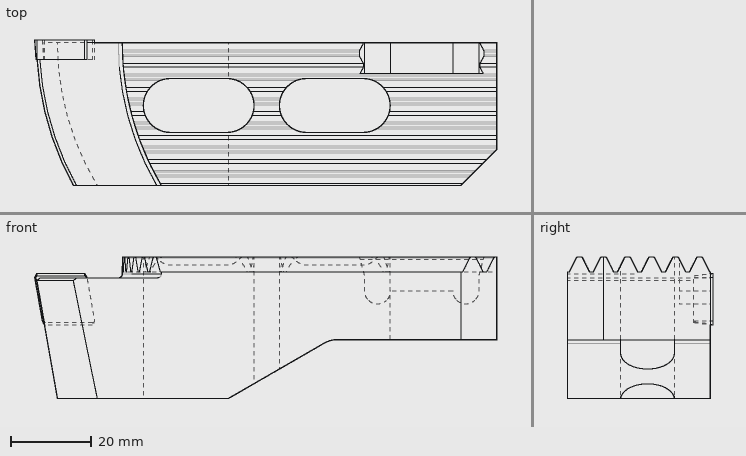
import cadquery as cq
import math


LENGTH = 115.5
WIDTH = 35.7
HEIGHT = 35.4
SHANK_HEIGHT = 20.7
HEEL_X = 48.4
RAMP_ANGLE = 30.0
RAMP_FILLET = 6.5
TAIL_CHAMFER = 9.0

NOSE_TOP_Z = -5.25
NOSE_X = 0.5
NOSE_RADIUS = 74.0
NOSE_RELIEF_ANGLE = 10.0
NOSE_CHAMFER = 0.7

TOOTH_PITCH = 6.0
TOOTH_DEPTH = 3.75
TOOTH_FLANK_ANGLE = 26.5
VALLEY_WIDTH = 0.9
CREST_FILLET = 0.5
SHOULDER_X = 21.9
SHOULDER_RADIUS = 70.0
SHOULDER_FILLET = 1.0

SLOT_LENGTH = 27.6
SLOT_WIDTH = 13.4
SLOT_COUNT = 2
SLOT_SPACING = 34.0
FIRST_SLOT_X = 41.0
SLOT_Y = 20.0

RECESS_X = 96.7
RECESS_INNER_Y = 28.0
RECESS_MOUTH_LENGTH = 31.1
RECESS_WALL_DRAFT = 15.0
RECESS_FLOOR_Z = -8.5
GROOVE_RADIUS = 3.25
GROOVE_SPACING = 22.05

INSERT_OUTER_Y = 36.36
INSERT_INNER_Y = 31.5
INSERT_TOP_Z = -4.1
INSERT_BOTTOM_Z = -17.05
INSERT_LENGTH = 13.1
INSERT_BEVEL_X = 0.6
INSERT_BEVEL_Z = 1.0
INSERT_SIDE_TAPER = 0.65
INSERT_FRONT_TAPER = 0.35


def revolve_profile(profile):
    """Turn a closed radius-height profile into a solid about the vertical axis."""
    turned = profile.close().revolve(360, (0, 0, 0), (0, 1, 0))
    return turned.rotate((0, 0, 0), (1, 0, 0), 90)


def jaw_block():
    """Long block with a ramped underside rising from the nose to the shank."""
    ramp_run = (HEIGHT - SHANK_HEIGHT) / math.tan(math.radians(RAMP_ANGLE))
    ramp_end_x = HEEL_X + ramp_run
    block = (
        cq.Workplane("XZ")
        .moveTo(0, 0)
        .lineTo(LENGTH, 0)
        .lineTo(LENGTH, -SHANK_HEIGHT)
        .lineTo(ramp_end_x, -SHANK_HEIGHT)
        .lineTo(HEEL_X, -HEIGHT)
        .lineTo(0, -HEIGHT)
        .close()
        .extrude(-WIDTH)
    )
    ramp_corner = cq.selectors.NearestToPointSelector((ramp_end_x, WIDTH / 2, -SHANK_HEIGHT))
    return block.edges(ramp_corner).fillet(RAMP_FILLET)


def cut_serrations(body):
    """V-grooves along X, one at every pitch, with rounded tooth crests."""
    flank_slope = math.tan(math.radians(TOOTH_FLANK_ANGLE))
    valley_half = VALLEY_WIDTH / 2
    mouth_half = valley_half + TOOTH_DEPTH * flank_slope
    groove_count = math.ceil(WIDTH / TOOTH_PITCH) + 1
    for index in range(groove_count):
        valley_y = index * TOOTH_PITCH
        groove = (
            cq.Workplane("YZ")
            .moveTo(valley_y - valley_half, -TOOTH_DEPTH)
            .lineTo(valley_y + valley_half, -TOOTH_DEPTH)
            .lineTo(valley_y + mouth_half, 0)
            .lineTo(valley_y - mouth_half, 0)
            .close()
            .extrude(LENGTH)
        )
        body = body.cut(groove)
    return body.faces(">Z").edges("|X").fillet(CREST_FILLET)


def nose_envelope():
    """Cone that leans the nose back, with a 45 degree chamfer at the nose top."""
    slope = math.tan(math.radians(NOSE_RELIEF_ANGLE))
    chamfer_z = NOSE_TOP_Z - NOSE_CHAMFER
    bottom_radius = NOSE_RADIUS - (chamfer_z + HEIGHT) * slope
    profile = (
        cq.Workplane("XY")
        .moveTo(0, -HEIGHT)
        .lineTo(bottom_radius, -HEIGHT)
        .lineTo(NOSE_RADIUS, chamfer_z)
        .lineTo(NOSE_RADIUS + chamfer_z, 0)
        .lineTo(0, 0)
    )
    upright = revolve_profile(profile)
    return upright.translate((NOSE_X + NOSE_RADIUS, WIDTH, 0))


def shoulder_envelope():
    """Round shoulder where the teeth end, filleted onto the flat nose top."""
    below_radius = LENGTH
    profile = (
        cq.Workplane("XY")
        .moveTo(0, -HEIGHT)
        .lineTo(below_radius, -HEIGHT)
        .lineTo(below_radius, NOSE_TOP_Z)
        .lineTo(SHOULDER_RADIUS + SHOULDER_FILLET, NOSE_TOP_Z)
        .radiusArc((SHOULDER_RADIUS, NOSE_TOP_Z + SHOULDER_FILLET), SHOULDER_FILLET)
        .lineTo(SHOULDER_RADIUS, 0)
        .lineTo(0, 0)
    )
    upright = revolve_profile(profile)
    return upright.translate((SHOULDER_X + SHOULDER_RADIUS, WIDTH, 0))


def tail_corner():
    """Triangular prism removed from the outer corner at the tail."""
    return (
        cq.Workplane("XY", origin=(0, 0, -HEIGHT))
        .moveTo(LENGTH - TAIL_CHAMFER, 0)
        .lineTo(LENGTH, 0)
        .lineTo(LENGTH, TAIL_CHAMFER)
        .close()
        .extrude(HEIGHT)
    )


def bolt_slots():
    """Row of round-ended slots through the full height."""
    centres = [(FIRST_SLOT_X + index * SLOT_SPACING, SLOT_Y) for index in range(SLOT_COUNT)]
    return (
        cq.Workplane("XY", origin=(0, 0, -HEIGHT))
        .pushPoints(centres)
        .slot2D(SLOT_LENGTH, SLOT_WIDTH)
        .extrude(HEIGHT)
    )


def side_recess():
    """Recess open to the inner side: drafted mouth, upright walls and two round grooves in its floor."""
    mouth_half = RECESS_MOUTH_LENGTH / 2
    groove_x = GROOVE_SPACING / 2
    wall_half = groove_x + GROOVE_RADIUS
    land_half = groove_x - GROOVE_RADIUS
    draft_end_z = -(mouth_half - wall_half) / math.tan(math.radians(RECESS_WALL_DRAFT))
    groove_bottom_z = RECESS_FLOOR_Z - GROOVE_RADIUS
    recess = (
        cq.Workplane("XZ", origin=(RECESS_X, RECESS_INNER_Y, 0))
        .moveTo(-mouth_half, 0)
        .lineTo(-wall_half, draft_end_z)
        .lineTo(-wall_half, RECESS_FLOOR_Z)
        .threePointArc((-groove_x, groove_bottom_z), (-land_half, RECESS_FLOOR_Z))
        .lineTo(land_half, RECESS_FLOOR_Z)
        .threePointArc((groove_x, groove_bottom_z), (wall_half, RECESS_FLOOR_Z))
        .lineTo(wall_half, draft_end_z)
        .lineTo(mouth_half, 0)
        .close()
    )
    return recess.extrude(RECESS_INNER_Y - WIDTH)


def insert_outline(y, side_taper, front_taper):
    """Leaning parallelogram with bevelled corners, as a wire in the plane at y."""
    slope = math.tan(math.radians(NOSE_RELIEF_ANGLE))
    upper_z = INSERT_TOP_Z - INSERT_BEVEL_Z
    lower_z = INSERT_BOTTOM_Z + INSERT_BEVEL_Z
    lean = (upper_z - lower_z) * slope
    top_z = INSERT_TOP_Z - side_taper
    bottom_z = INSERT_BOTTOM_Z + side_taper
    outline = [
        (INSERT_BEVEL_X, top_z),
        (INSERT_LENGTH - INSERT_BEVEL_X, top_z),
        (INSERT_LENGTH, upper_z),
        (INSERT_LENGTH + lean, lower_z),
        (INSERT_LENGTH + lean - INSERT_BEVEL_X, bottom_z),
        (lean + INSERT_BEVEL_X, bottom_z),
        (lean + front_taper, lower_z),
        (front_taper, upper_z),
    ]
    return cq.Wire.makePolygon([cq.Vector(x, y, z) for x, z in outline], close=True)


def make_insert():
    """Cutting insert, tapering from its outer face to the face seated in the jaw."""
    outer = insert_outline(INSERT_OUTER_Y, 0, 0)
    inner = insert_outline(INSERT_INNER_Y, INSERT_SIDE_TAPER, INSERT_FRONT_TAPER)
    return cq.Workplane("XY").newObject([cq.Solid.makeLoft([outer, inner], True)])


def make_jaw(insert):
    """Serrated jaw with a seat that matches the insert."""
    jaw = cut_serrations(jaw_block())
    jaw = jaw.intersect(nose_envelope())
    jaw = jaw.intersect(shoulder_envelope())
    jaw = jaw.cut(tail_corner())
    jaw = jaw.cut(bolt_slots())
    jaw = jaw.cut(side_recess())
    return jaw.cut(insert).solids()


insert = make_insert()
jaw = make_jaw(insert)

result = cq.Compound.makeCompound([jaw.val(), insert.val()])